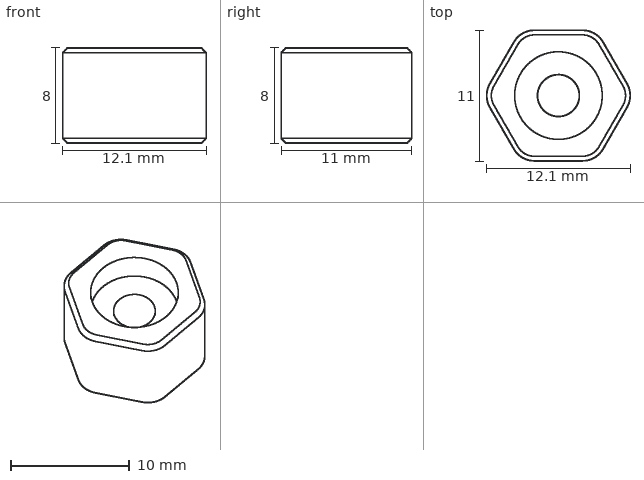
import cadquery as cq
import math

width_over_corners = 12.08
height = 8.0
corner_radius = 2.0
edge_chamfer = 0.4

bore_diameter = 3.5
counterbore_diameter = 7.37
counterbore_depth = 2.6

corner_setback = corner_radius * (1 / math.cos(math.radians(30)) - 1)
sharp_corner_diameter = width_over_corners + 2 * corner_setback

body = (
    cq.Workplane("XY")
    .polygon(6, sharp_corner_diameter)
    .extrude(height)
    .edges("|Z")
    .fillet(corner_radius)
)

body = body.faces("<Z or >Z").edges().chamfer(edge_chamfer)

result = body.faces(">Z").workplane(origin=(0, 0, height)).cboreHole(
    bore_diameter, counterbore_diameter, counterbore_depth
)